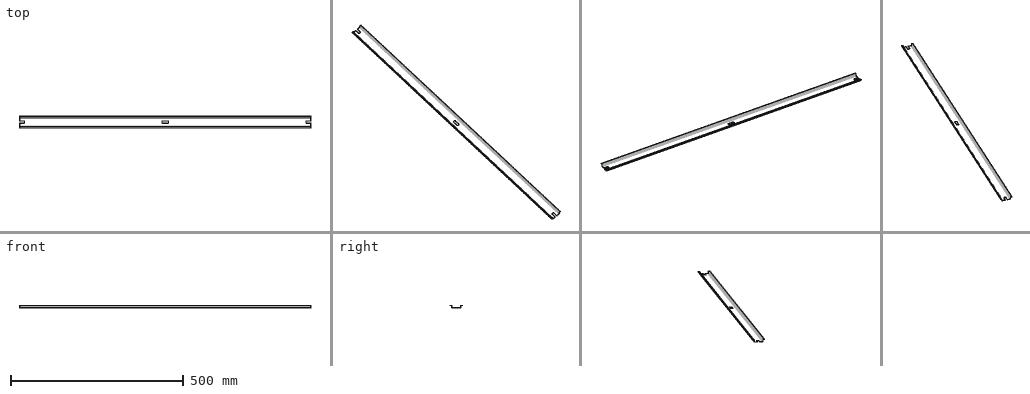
import cadquery as cq

length = 845.0
width = 35.0
height = 7.5

thickness = 1.0
channel_width = 27.0
outer_bend_radius = 1.8
inner_bend_radius = outer_bend_radius - thickness

slot_length = 18.0
slot_width = 6.2
end_slot_depth = 14.0
slot_corner_radius = 1.5


def rail_section():
    """Top-hat outline in the YZ plane, standing on Z = 0."""
    half_width = width / 2
    half_outer = channel_width / 2
    half_inner = half_outer - thickness
    flange_bottom = height - thickness
    return (
        cq.Workplane("YZ")
        .moveTo(-half_outer, 0)
        .lineTo(half_outer, 0)
        .lineTo(half_outer, flange_bottom)
        .lineTo(half_width, flange_bottom)
        .lineTo(half_width, height)
        .lineTo(half_inner, height)
        .lineTo(half_inner, thickness)
        .lineTo(-half_inner, thickness)
        .lineTo(-half_inner, height)
        .lineTo(-half_width, height)
        .lineTo(-half_width, flange_bottom)
        .lineTo(-half_outer, flange_bottom)
        .close()
    )


def bend_edges(body, y, z):
    """Pick the lengthwise edges at +y and -y at height z."""
    reach = 0.01
    edges = body.edges("|X")
    picks = [
        edges.edges(cq.selectors.BoxSelector(
            (-length, side * y - reach, z - reach),
            (length, side * y + reach, z + reach),
        ))
        for side in (-1, 1)
    ]
    return picks[0].add(picks[1])


def rail_body():
    body = rail_section().extrude(length / 2, both=True)
    half_outer = channel_width / 2
    half_inner = half_outer - thickness
    bends = [
        (half_outer, 0, outer_bend_radius),
        (half_inner, height, outer_bend_radius),
        (half_outer, height - thickness, inner_bend_radius),
        (half_inner, thickness, inner_bend_radius),
    ]
    for y, z, radius in bends:
        body = bend_edges(body, y, z).fillet(radius)
    return body


def floor_slots():
    """Round-cornered slot at mid length and an open slot at each end."""
    end_offset = (length + slot_length) / 2 - end_slot_depth
    return (
        cq.Workplane("XY")
        .pushPoints([(-end_offset, 0), (0, 0), (end_offset, 0)])
        .rect(slot_length, slot_width)
        .extrude(height)
        .edges("|Z")
        .fillet(slot_corner_radius)
    )


result = rail_body().cut(floor_slots())